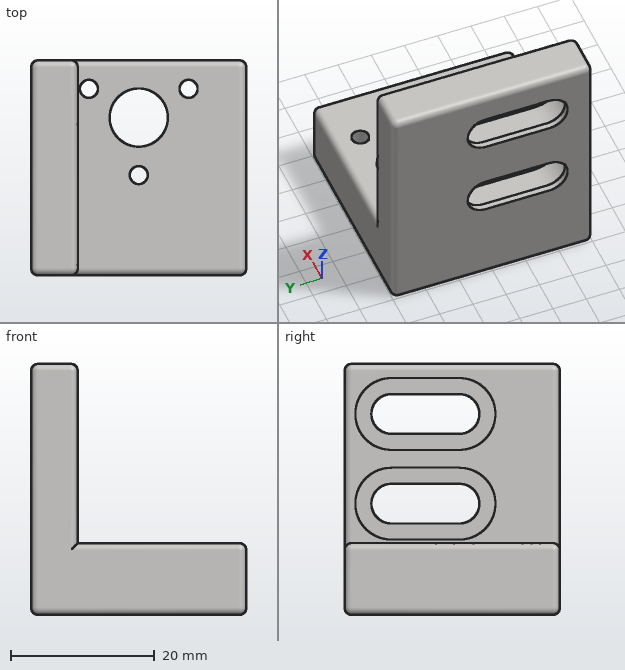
import cadquery as cq

width = 30.0
depth = 30.0
height = 35.0
wall_thickness = 6.5
base_thickness = 10.0
edge_radius = 0.98

bore_diameter = 8.1
bore_y = 7.0
screw_diameter = 2.5
screw_circle_radius = 8.0
screw_count = 3
first_screw_angle = -90

slot_length = 15.0
slot_height = 5.5
slot_lip = 1.0
recess_height = 10.0
slot_y = -3.75
upper_slot_z = 28.0
slot_spacing = 12.5

wall_outer_x = -width / 2
wall_inner_x = wall_outer_x + wall_thickness


def make_body():
    """L-shaped body, rounded everywhere except along the inside corner."""
    base = cq.Workplane("XY").box(width, depth, base_thickness, centered=(True, True, False))
    wall = (
        cq.Workplane("XY")
        .box(wall_thickness, depth, height, centered=(False, True, False))
        .translate((wall_outer_x, 0, 0))
    )
    body = base.union(wall)
    inside_corner = cq.selectors.NearestToPointSelector((wall_inner_x, 0, base_thickness))
    all_edges = cq.selectors.BoxSelector((-width, -depth, -height), (width, depth, 2 * height))
    return body.edges(all_edges - inside_corner).fillet(edge_radius)


def make_base_holes():
    """Bore and its ring of screw holes."""
    plane = cq.Workplane("XY").center(0, bore_y)
    bore = plane.circle(bore_diameter / 2).extrude(base_thickness)
    screws = (
        plane.polarArray(screw_circle_radius, first_screw_angle, 360, screw_count)
        .circle(screw_diameter / 2)
        .extrude(base_thickness)
    )
    return bore.union(screws)


def make_slot_pair(start_x, length, slot_width, depth_into_wall):
    """Two round-ended slots, one above the other, cut toward +X from start_x."""
    return (
        cq.Workplane("YZ", origin=(start_x, 0, 0))
        .pushPoints([(slot_y, upper_slot_z), (slot_y, upper_slot_z - slot_spacing)])
        .slot2D(length, slot_width)
        .extrude(depth_into_wall)
    )


through_slots = make_slot_pair(wall_outer_x, slot_length, slot_height, wall_thickness)
head_recesses = make_slot_pair(
    wall_outer_x + slot_lip,
    slot_length + recess_height - slot_height,
    recess_height,
    wall_thickness - slot_lip,
)

result = make_body().cut(make_base_holes()).cut(through_slots).cut(head_recesses)